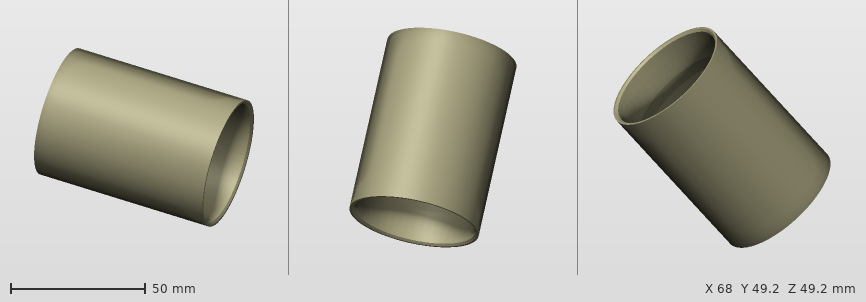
import cadquery as cq

length = 68.0
outer_radius = 24.605

land_radius = 23.0
relief_radius = 23.8
chamfer_size = 0.8
land_end_depth = 13.0
taper_length = 4.5

end_x = length / 2
land_outer_x = end_x - chamfer_size
land_inner_x = end_x - land_end_depth
relief_end_x = land_inner_x - taper_length
mouth_radius = land_radius + chamfer_size


def wall_profile():
    """Section of the tube wall: X along the axis, Z the radius."""
    return (
        cq.Workplane("XZ")
        .moveTo(-end_x, outer_radius)
        .lineTo(end_x, outer_radius)
        .lineTo(end_x, mouth_radius)
        .lineTo(land_outer_x, land_radius)
        .lineTo(land_inner_x, land_radius)
        .lineTo(relief_end_x, relief_radius)
        .lineTo(-relief_end_x, relief_radius)
        .lineTo(-land_inner_x, land_radius)
        .lineTo(-land_outer_x, land_radius)
        .lineTo(-end_x, mouth_radius)
        .close()
    )


result = wall_profile().revolve(360, (0, 0, 0), (1, 0, 0))